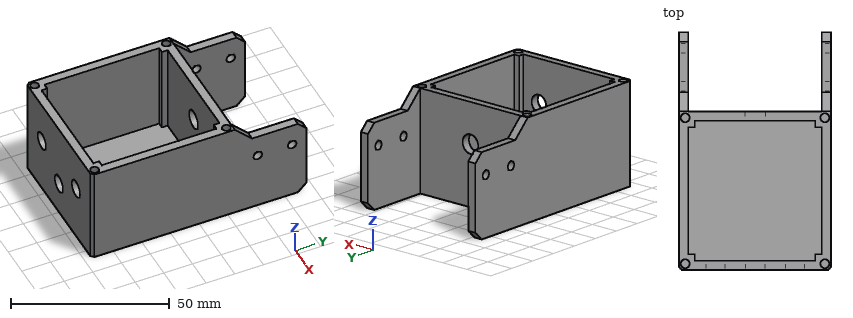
import cadquery as cq

box_width = 48.0
box_length = 50.0
box_height = 35.0
wall = 3.0
floor = 3.0
front_edge_chamfer = 1.0

post_size = 5.0
screw_hole_diameter = 2.8
screw_hole_inset = 2.0
screw_hole_depth = 10.0

overall_length = 75.0
ear_drop = 6.0
ear_chamfer = 3.0
ear_hole_diameter = 3.0
ear_hole_height = 21.0
ear_hole_end_distances = (5.0, 17.0)

front_hole_diameter = 6.0
front_side_hole_offset = 12.5
front_side_hole_height = 20.0
front_middle_hole_height = 12.0
back_hole_diameter = 6.5
back_hole_height = 21.0

half_width = box_width / 2
ear_top = box_height - ear_drop


def make_box():
    """Open box with chamfered front upright edges and square corner posts."""
    shell = cq.Workplane("XY").box(box_width, box_length, box_height, centered=(True, False, False))
    shell = shell.faces("<Y").edges("|Z").chamfer(front_edge_chamfer)

    cavity_height = box_height - floor
    cavity = (
        cq.Workplane("XY", origin=(0, box_length / 2, floor))
        .rect(box_width - 2 * wall, box_length - 2 * wall)
        .extrude(cavity_height)
    )
    posts = (
        cq.Workplane("XY", origin=(0, box_length / 2, floor))
        .rect(box_width - post_size, box_length - post_size, forConstruction=True)
        .vertices()
        .rect(post_size, post_size)
        .extrude(cavity_height)
    )
    return shell.cut(cavity.cut(posts))


def make_ear(left_x):
    """Plate behind the box, rooted in its side wall, with a sloped shoulder and chamfered free end."""
    return (
        cq.Workplane("YZ", origin=(left_x, 0, 0))
        .moveTo(box_length - wall, 0)
        .lineTo(overall_length - ear_chamfer, 0)
        .lineTo(overall_length, ear_chamfer)
        .lineTo(overall_length, ear_top - ear_chamfer)
        .lineTo(overall_length - ear_chamfer, ear_top)
        .lineTo(box_length + ear_drop, ear_top)
        .lineTo(box_length, box_height)
        .lineTo(box_length - wall, box_height)
        .close()
        .extrude(wall)
    )


def make_screw_holes():
    """Blind holes down into the four corners of the rim."""
    return (
        cq.Workplane("XY", origin=(0, box_length / 2, box_height))
        .rect(box_width - 2 * screw_hole_inset, box_length - 2 * screw_hole_inset, forConstruction=True)
        .vertices()
        .circle(screw_hole_diameter / 2)
        .extrude(-screw_hole_depth)
    )


def make_ear_holes():
    """Cross holes through both ears."""
    points = [(overall_length - distance, ear_hole_height) for distance in ear_hole_end_distances]
    return (
        cq.Workplane("YZ", origin=(-half_width, 0, 0))
        .pushPoints(points)
        .circle(ear_hole_diameter / 2)
        .extrude(box_width)
    )


def make_wall_holes(wall_front_y, points, diameter):
    """Holes along Y through one wall, at the given X and Z positions."""
    return (
        cq.Workplane("XZ", origin=(0, wall_front_y, 0))
        .pushPoints(points)
        .circle(diameter / 2)
        .extrude(-wall)
    )


front_hole_points = [
    (-front_side_hole_offset, front_side_hole_height),
    (0, front_middle_hole_height),
    (front_side_hole_offset, front_side_hole_height),
]
back_hole_points = [(0, back_hole_height)]

result = make_box()
for ear_left_x in (-half_width, half_width - wall):
    result = result.union(make_ear(ear_left_x))

result = result.cut(make_screw_holes())
result = result.cut(make_ear_holes())
result = result.cut(make_wall_holes(0, front_hole_points, front_hole_diameter))
result = result.cut(make_wall_holes(box_length - wall, back_hole_points, back_hole_diameter))